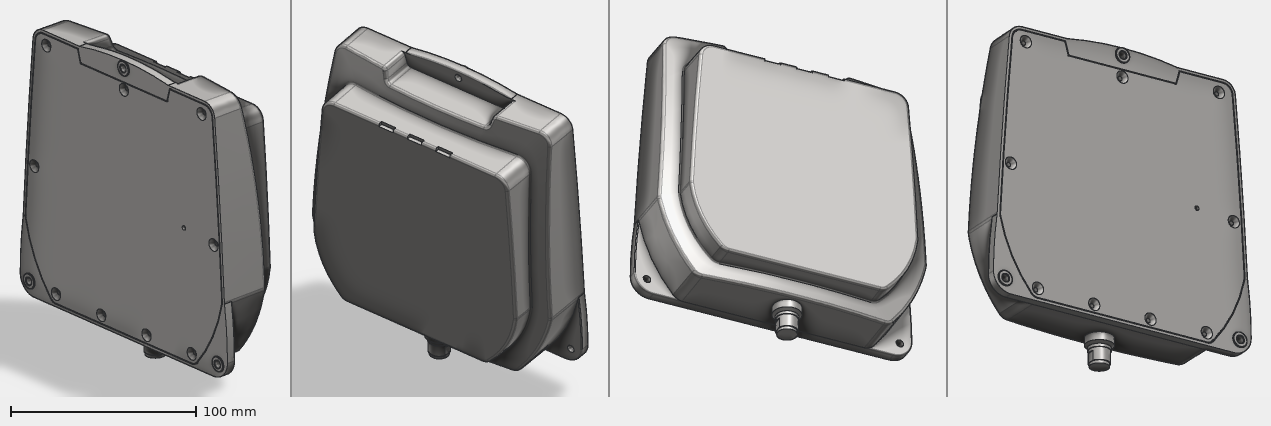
import cadquery as cq


SHELL_HEIGHT = 160.2
TOP_HALF_WIDTH = 71.8
SHOULDER_HALF_WIDTH = 80.3
SHOULDER_Z = 45.5
SIDE_BULGE = 0.5
LOWER_ARC_MID = (68.7, 15.2)
BOTTOM_HALF_WIDTH = 57.5
TOP_CORNER_R = 8.1
SHELL_DRAFT_ANGLE = 0.5
SHOULDER_R = 7.2
BOTTOM_CORNER_R = 7.2
CORNER_TOLERANCE = 0.02

DOME_R = 487.1
DOME_APEX_Y = 37.2
DOME_APEX_Z = 49.6
DOME_EDGE_R = 1.8

BOX_BACK_Y = 46.0
BOX_BASE_Y = 18.0
BOX_TOP_Z = 142.4
BOX_TOP_CORNER_R = 9.0
BOX_BOTTOM_Z = 10.5
BOX_TOP_HALF_WIDTH = 62.0
BOX_SHOULDER_HALF_WIDTH = 68.4
BOX_SHOULDER_Z = 49.6
BOX_LOWER_ARC_MID = (58.8, 23.1)
BOX_BOTTOM_HALF_WIDTH = 47.8
BOX_DRAFT_ANGLE = 1.0
BOX_EDGE_R = 1.6
BOX_BASE_R = 0.9

NOTCH_COUNT = 3
NOTCH_WIDTH = 9.4
NOTCH_PITCH = 19.0
NOTCH_DEPTH_Y = 2.5
NOTCH_DEPTH_Z = 1.8

RECESS_TOP_HALF_WIDTH = 36.0
RECESS_FLOOR_HALF_WIDTH = 33.5
RECESS_DEPTH = 8.5
RECESS_FLOOR_R = 3.0
RECESS_LIP_R = 2.7

FLANGE_THICKNESS = 5.6
FLANGE_EDGE_R = 0.5
EAR_HALF_WIDTH = 82.6
EAR_CORNER_R = 11.2
TAB_HALF_WIDTH = 35.4
TAB_TOP_Z = 163.3
BOSS_R = 4.5
BOSS_HEIGHT = 0.7
MOUNT_HOLE_R = 2.2
BOSS_CHAMFER = 0.4
MOUNT_POINTS = [(-75.2, 8.5), (75.2, 8.5), (0, 158.8)]

RIM_WALL = 1.6
COVER_GAP = 0.5
COVER_THICKNESS = 2.3
COVER_NOTCH_TOP_HALF_WIDTH = 36.5
COVER_NOTCH_HALF_WIDTH = 34.3
COVER_NOTCH_Z = 150.7
SCREW_HEAD_R = 3.6
SCREW_SEAT_R = 1.3
SCREW_POINTS = [
    (0, 146.0),
    (-61.9, 152.0), (61.9, 152.0),
    (-71.5, 77.5), (71.5, 77.5),
    (-54.1, 7.5), (54.1, 7.5),
    (-18.0, 6.9), (18.0, 6.9),
]
PIN_HOLE_POINT = (47.8, 80.0)
PIN_HOLE_R = 1.3

CONNECTOR_Y = 23.1
COLLAR_R = 8.1
COLLAR_LENGTH = 4.5
NECK_R = 6.5
NECK_START = 6.0
NECK_END = 7.8
PLUG_R = 6.1
PLUG_END = 15.3
TIP_R = 5.6
CONNECTOR_LENGTH = 17.1
CONNECTOR_ROOT = 3.6
FLAT_HALF_SPACING = 5.6
FLAT_START = 9.5


def extrude_back(wire, depth, taper=0):
    """Solid that runs from a wire in an XZ plane toward the back."""
    return cq.Workplane(cq.Solid.extrudeLinear(wire, [], cq.Vector(0, depth, 0), taper))


def front_plane(y=0):
    """Sketch plane with axes X and Z; positive extrusion goes forward, negative goes back."""
    return cq.Workplane("XZ", origin=(0, y, 0))


def tapered_outline(y, top, top_half, shoulder, shoulder_half, arc_mid, bottom, bottom_half, top_corner_r):
    """Flat top, sides flaring to the shoulder, arcs curving in to a flat bottom, corners rounded."""
    mid_x, mid_z = arc_mid
    side_x = (top_half + shoulder_half) / 2 + SIDE_BULGE
    side_z = (top + shoulder) / 2
    sharp = (
        front_plane(y)
        .moveTo(-top_half, top)
        .lineTo(top_half, top)
        .threePointArc((side_x, side_z), (shoulder_half, shoulder))
        .threePointArc((mid_x, mid_z), (bottom_half, bottom))
        .lineTo(-bottom_half, bottom)
        .threePointArc((-mid_x, mid_z), (-shoulder_half, shoulder))
        .threePointArc((-side_x, side_z), (-top_half, top))
        .close()
    )
    face = cq.Face.makeFromWires(sharp.val())
    for height, radius in ((top, top_corner_r), (shoulder, SHOULDER_R), (bottom, BOTTOM_CORNER_R)):
        corners = [vertex for vertex in face.Vertices() if abs(vertex.Z - height) < CORNER_TOLERANCE]
        face = face.fillet2D(radius, corners)
    return face.outerWire()


def shell_outline():
    """Outline of the shell at the front face."""
    return tapered_outline(
        0, SHELL_HEIGHT, TOP_HALF_WIDTH, SHOULDER_Z, SHOULDER_HALF_WIDTH,
        LOWER_ARC_MID, 0, BOTTOM_HALF_WIDTH, TOP_CORNER_R,
    )


def domed_shell():
    """Shell block with a spherical back, the finger recess, and a rounded rim around the back."""
    shell = extrude_back(shell_outline(), DOME_APEX_Y, SHELL_DRAFT_ANGLE)
    dome = cq.Workplane("XY", origin=(0, DOME_APEX_Y - DOME_R, DOME_APEX_Z)).sphere(DOME_R)
    shell = shell.intersect(dome)

    floor_z = SHELL_HEIGHT - RECESS_DEPTH
    recess = (
        front_plane(FLANGE_THICKNESS)
        .moveTo(-RECESS_TOP_HALF_WIDTH, SHELL_HEIGHT)
        .lineTo(-RECESS_FLOOR_HALF_WIDTH, floor_z)
        .lineTo(RECESS_FLOOR_HALF_WIDTH, floor_z)
        .lineTo(RECESS_TOP_HALF_WIDTH, SHELL_HEIGHT)
        .close()
        .extrude(-DOME_APEX_Y)
        .faces("<Z").edges("|Y").fillet(RECESS_FLOOR_R)
    )
    shell = shell.cut(recess)
    lip_zone = cq.selectors.BoxSelector(
        (-RECESS_TOP_HALF_WIDTH, FLANGE_THICKNESS + RECESS_LIP_R, SHELL_HEIGHT - RECESS_LIP_R / 2),
        (RECESS_TOP_HALF_WIDTH, DOME_APEX_Y, SHELL_HEIGHT),
    )
    shell = shell.edges(lip_zone).fillet(RECESS_LIP_R)
    return shell.faces("%SPHERE").edges().fillet(DOME_EDGE_R)


def back_box():
    """Raised box on the dome, drafted, with a rounded back edge and notches along its top."""
    outline = tapered_outline(
        BOX_BASE_Y, BOX_TOP_Z, BOX_TOP_HALF_WIDTH, BOX_SHOULDER_Z, BOX_SHOULDER_HALF_WIDTH,
        BOX_LOWER_ARC_MID, BOX_BOTTOM_Z, BOX_BOTTOM_HALF_WIDTH, BOX_TOP_CORNER_R,
    )
    box = extrude_back(outline, BOX_BACK_Y - BOX_BASE_Y, BOX_DRAFT_ANGLE)
    box = box.faces(">Y").edges().fillet(BOX_EDGE_R)
    back_top_z = box.faces(">Y").val().BoundingBox().zmax + BOX_EDGE_R
    notches = (
        cq.Workplane("XY", origin=(0, BOX_BACK_Y, back_top_z))
        .rarray(NOTCH_PITCH, 1.8, NOTCH_COUNT, 1)
        .box(NOTCH_WIDTH, 2 * NOTCH_DEPTH_Y, 2 * NOTCH_DEPTH_Z, combine=False)
    )
    return box.cut(notches)


def ear_plate():
    """Flange plate that carries the two bottom ears."""
    return (
        front_plane()
        .moveTo(0, 0)
        .lineTo(EAR_HALF_WIDTH - EAR_CORNER_R, 0)
        .tangentArcPoint((EAR_HALF_WIDTH, EAR_CORNER_R), relative=False)
        .tangentArcPoint((SHOULDER_HALF_WIDTH, SHOULDER_Z), relative=False)
        .lineTo(0, SHOULDER_Z)
        .mirrorY()
        .extrude(-FLANGE_THICKNESS)
        .faces(">Y").edges().fillet(FLANGE_EDGE_R)
    )


def top_tab():
    """Arched tab above the top wall, in front of the finger recess."""
    return (
        front_plane()
        .moveTo(-TAB_HALF_WIDTH, SHELL_HEIGHT)
        .threePointArc((0, TAB_TOP_Z), (TAB_HALF_WIDTH, SHELL_HEIGHT))
        .lineTo(TAB_HALF_WIDTH, COVER_NOTCH_Z)
        .lineTo(-TAB_HALF_WIDTH, COVER_NOTCH_Z)
        .close()
        .extrude(-FLANGE_THICKNESS)
        .faces(">Y").edges(">Z").fillet(FLANGE_EDGE_R)
    )


def mount_bosses():
    """Thin round pads that stand proud of the front at each mounting hole, with chamfered rims."""
    pads = front_plane().pushPoints(MOUNT_POINTS).circle(BOSS_R).extrude(BOSS_HEIGHT)
    holes = front_plane().pushPoints(MOUNT_POINTS).circle(MOUNT_HOLE_R).extrude(BOSS_HEIGHT)
    return pads.cut(holes).faces("<Y").edges().chamfer(BOSS_CHAMFER)


def mount_holes():
    """Through holes in the flange at each mounting point."""
    return front_plane().pushPoints(MOUNT_POINTS).circle(MOUNT_HOLE_R).extrude(-FLANGE_THICKNESS)


def cable_connector():
    """Stepped round connector pointing down, with a flat on each side of its plug."""
    profile = (
        cq.Workplane("XZ", origin=(0, CONNECTOR_Y, 0))
        .moveTo(0, CONNECTOR_ROOT)
        .lineTo(COLLAR_R, CONNECTOR_ROOT)
        .lineTo(COLLAR_R, -COLLAR_LENGTH)
        .lineTo(NECK_R, -NECK_START)
        .lineTo(NECK_R, -NECK_END)
        .lineTo(PLUG_R, -NECK_END)
        .lineTo(PLUG_R, -PLUG_END)
        .lineTo(TIP_R, -PLUG_END)
        .lineTo(TIP_R, -CONNECTOR_LENGTH)
        .lineTo(0, -CONNECTOR_LENGTH)
        .close()
    )
    connector = profile.revolve(360, (0, 0, 0), (0, 1, 0))
    flat_height = PLUG_END - FLAT_START
    for side in (-1, 1):
        flat = cq.Workplane("XY").box(PLUG_R, 2 * PLUG_R, flat_height).translate(
            (side * (FLAT_HALF_SPACING + PLUG_R / 2), CONNECTOR_Y, -(FLAT_START + PLUG_END) / 2)
        )
        connector = connector.cut(flat)
    return connector


def cover_pocket_block():
    """Block that fills the cover pocket: the shell outline moved inward, notched below the top tab."""
    block = extrude_back(shell_outline().offset2D(-RIM_WALL)[0], COVER_THICKNESS)
    notch = (
        front_plane()
        .moveTo(-COVER_NOTCH_TOP_HALF_WIDTH, SHELL_HEIGHT)
        .lineTo(-COVER_NOTCH_TOP_HALF_WIDTH, SHELL_HEIGHT - RIM_WALL)
        .lineTo(-COVER_NOTCH_HALF_WIDTH, COVER_NOTCH_Z)
        .lineTo(COVER_NOTCH_HALF_WIDTH, COVER_NOTCH_Z)
        .lineTo(COVER_NOTCH_TOP_HALF_WIDTH, SHELL_HEIGHT - RIM_WALL)
        .lineTo(COVER_NOTCH_TOP_HALF_WIDTH, SHELL_HEIGHT)
        .close()
        .extrude(-COVER_THICKNESS)
    )
    return block.cut(notch)


def make_housing():
    """Shell with its back box, flange, connector, cover pocket and mounting holes."""
    housing = domed_shell().union(back_box())
    box_base = housing.faces("%SPHERE").val().innerWires()[0]
    housing = housing.newObject(box_base.Edges()).fillet(BOX_BASE_R)
    housing = housing.union(ear_plate()).union(top_tab())
    housing = housing.union(cable_connector())
    return housing.cut(cover_pocket_block()).cut(mount_holes()).union(mount_bosses())


def make_cover():
    """Plate that sits in the pocket with an even gap, with countersunk screw holes and a pin hole."""
    outline = cover_pocket_block().faces("<Y").val().outerWire().offset2D(-COVER_GAP)[0]
    cover = extrude_back(outline, COVER_THICKNESS)
    for x, z in SCREW_POINTS:
        countersink = cq.Solid.makeCone(
            SCREW_HEAD_R, SCREW_SEAT_R, COVER_THICKNESS, cq.Vector(x, 0, z), cq.Vector(0, 1, 0)
        )
        cover = cover.cut(cq.Workplane(countersink))
    pin_hole = front_plane().center(*PIN_HOLE_POINT).circle(PIN_HOLE_R).extrude(-COVER_THICKNESS)
    return cover.cut(pin_hole)


housing = make_housing()
cover = make_cover()
result = cq.Compound.makeCompound([housing.val(), cover.val()])